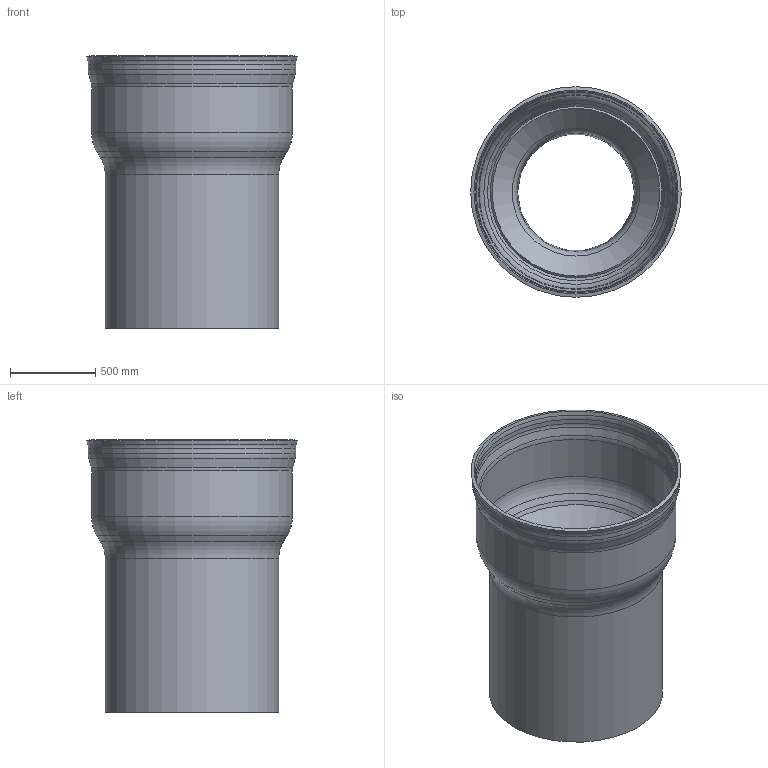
import cadquery as cq
import math

SHELL_THICKNESS = 20.0
PIPE_RADIUS = 1020.0 / 2
BELL_RADIUS = 1180.0 / 2
COLLAR_RADIUS = 1220.0 / 2
RIM_RADIUS = 1238.58 / 2
TOTAL_HEIGHT = 1600.0
PIPE_LENGTH = 900.0

SHOULDER_TILT = 30.7
SHOULDER_BEND = 200.0
COLLAR_TILT = 15.0
COLLAR_BEND = 90.0
COLLAR_LENGTH = 30.0

THROAT_RADIUS = 698.0 / 2
LINER_OUTER_RADIUS = 730.0 / 2
OUTLET_RADIUS = 685.0 / 2
LINER_THICKNESS = LINER_OUTER_RADIUS - THROAT_RADIUS
FUNNEL_TILT = 43.4
FUNNEL_MOUTH_RADIUS = 493.0
FUNNEL_TOP = 1001.0
FUNNEL_INNER_BEND = 96.0


def sin(degrees):
    return math.sin(math.radians(degrees))


def cos(degrees):
    return math.cos(math.radians(degrees))


def tan(degrees):
    return math.tan(math.radians(degrees))


def bend_offset(radius, tilt):
    """Radial growth of a face that bends by tilt degrees away from vertical."""
    return radius * (1 - cos(tilt))


def straight(length):
    return {"length": length}


def bend(radius, tilt):
    """Arc of the outer face, ending with the wall tilted outward by tilt degrees."""
    return {"radius": radius, "tilt": tilt}


def flared_tube(outer_radius, start_tilt, thickness, segments):
    """Tube of even wall, revolved about Z.

    outer_radius is the outer face at Z = 0, and start_tilt is the wall's lean there.
    """

    def offset(point, tilt, distance):
        """Point moved outward, square to a wall with the given tilt."""
        return (point[0] + distance * cos(tilt), point[1] - distance * sin(tilt))

    foot = (outer_radius, 0.0)
    point = foot
    tilt = start_tilt
    outer_face = []
    for segment in segments:
        middle = None
        if "length" in segment:
            length = segment["length"]
            point = (point[0] + length * sin(tilt), point[1] + length * cos(tilt))
        else:
            to_centre = math.copysign(segment["radius"], segment["tilt"] - tilt)
            centre = offset(point, tilt, to_centre)
            middle_tilt = (tilt + segment["tilt"]) / 2
            middle = (offset(centre, middle_tilt, -to_centre), middle_tilt)
            tilt = segment["tilt"]
            point = offset(centre, tilt, -to_centre)
        outer_face.append((point, middle, tilt))

    profile = cq.Workplane("XZ").moveTo(*foot)
    for end, middle, _ in outer_face:
        if middle is None:
            profile = profile.lineTo(*end)
        else:
            profile = profile.threePointArc(middle[0], end)

    end, _, end_tilt = outer_face[-1]
    profile = profile.lineTo(*offset(end, end_tilt, -thickness))
    starts = [(foot, None, start_tilt)] + outer_face[:-1]
    for start_station, stretch in zip(reversed(starts), reversed(outer_face)):
        start, _, wall_tilt = start_station
        _, middle, _ = stretch
        inner_start = offset(start, wall_tilt, -thickness)
        if middle is None:
            profile = profile.lineTo(*inner_start)
        else:
            inner_middle = offset(*middle, -thickness)
            profile = profile.threePointArc(inner_middle, inner_start)
    return profile.close().revolve(360, (0, 0, 0), (0, 1, 0))


def make_shell():
    shoulder_return = SHOULDER_BEND + SHELL_THICKNESS
    collar_return = COLLAR_BEND + SHELL_THICKNESS

    shoulder_bends = SHOULDER_BEND + shoulder_return
    collar_bends = COLLAR_BEND + collar_return

    shoulder_growth = BELL_RADIUS - PIPE_RADIUS - bend_offset(shoulder_bends, SHOULDER_TILT)
    collar_growth = COLLAR_RADIUS - BELL_RADIUS - bend_offset(collar_bends, COLLAR_TILT)
    rim_growth = RIM_RADIUS - COLLAR_RADIUS - bend_offset(COLLAR_BEND, COLLAR_TILT)

    shoulder_height = shoulder_bends * sin(SHOULDER_TILT) + shoulder_growth / tan(SHOULDER_TILT)
    collar_height = collar_bends * sin(COLLAR_TILT) + collar_growth / tan(COLLAR_TILT)
    rim_height = (COLLAR_BEND + SHELL_THICKNESS) * sin(COLLAR_TILT) + rim_growth / tan(COLLAR_TILT)
    bell_top = TOTAL_HEIGHT - rim_height - COLLAR_LENGTH - collar_height
    bell_length = bell_top - PIPE_LENGTH - shoulder_height

    return flared_tube(PIPE_RADIUS, 0, SHELL_THICKNESS, [
        straight(PIPE_LENGTH),
        bend(SHOULDER_BEND, SHOULDER_TILT),
        straight(shoulder_growth / sin(SHOULDER_TILT)),
        bend(shoulder_return, 0),
        straight(bell_length),
        bend(COLLAR_BEND, COLLAR_TILT),
        straight(collar_growth / sin(COLLAR_TILT)),
        bend(collar_return, 0),
        straight(COLLAR_LENGTH),
        bend(COLLAR_BEND, COLLAR_TILT),
        straight(rim_growth / sin(COLLAR_TILT)),
    ])


def make_liner():
    taper = THROAT_RADIUS - OUTLET_RADIUS

    funnel_growth = FUNNEL_MOUTH_RADIUS - THROAT_RADIUS - bend_offset(FUNNEL_INNER_BEND, FUNNEL_TILT)
    funnel_height = FUNNEL_INNER_BEND * sin(FUNNEL_TILT) + funnel_growth / tan(FUNNEL_TILT)
    throat_height = FUNNEL_TOP - funnel_height
    throat_tilt = math.degrees(math.atan2(taper, throat_height))

    return flared_tube(LINER_OUTER_RADIUS - taper, throat_tilt, LINER_THICKNESS, [
        straight(math.hypot(taper, throat_height)),
        bend(FUNNEL_INNER_BEND - LINER_THICKNESS, FUNNEL_TILT),
        straight(funnel_growth / sin(FUNNEL_TILT)),
    ])


shell = make_shell()
liner = make_liner()
result = cq.Compound.makeCompound([shell.val(), liner.val()])